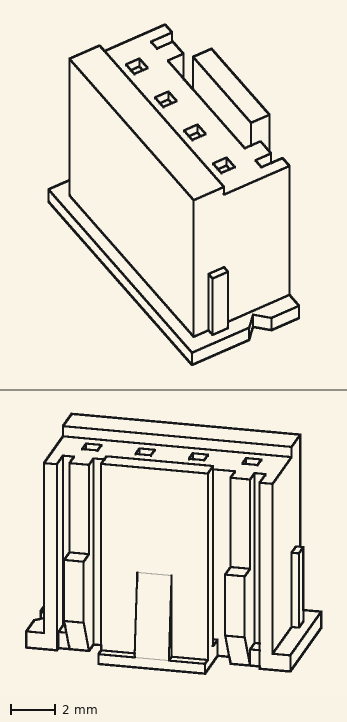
import cadquery as cq


flange_width = 12.3
flange_depth = 5.7
flange_height = 0.79
polarity_notch_depth = 0.62
polarity_notch_width = 1.18
polarity_notch_y = 3.63

housing_width = 10.65
housing_front = 0.6
housing_height = 9.0
part_height = 9.5
front_step_y = 2.21

rib_width = 11.34
rib_depth = 0.82
rib_height = 4.38

recess_width = 9.45
recess_front = 4.58
recess_floor_back = 5.41
rear_face = 6.4
post_inner_x = 3.3
post_outer_x = 4.21
post_shoulder_height = 4.69
post_foot_height = 1.73
latch_width = 4.97

part_depth = 6.9
ledge_height = 0.48
wedge_width = 1.6
wedge_top = 4.4

contact_count = 4
contact_pitch = 2.48
contact_size = 0.71
contact_hole_depth = 0.5
contact_y = 3.2


def block(x_start, x_end, y_start, y_end, z_start, z_end):
    """Box spanning the given limits along each axis."""
    size = (x_end - x_start, y_end - y_start, z_end - z_start)
    return cq.Workplane("XY").box(*size, centered=False).translate((x_start, y_start, z_start))


def centred_block(width, y_start, y_end, z_start, z_end):
    """Box symmetric about the X = 0 plane."""
    return block(-width / 2, width / 2, y_start, y_end, z_start, z_end)


def side_profile(points, x_start, x_end):
    """Extrude a closed outline of (y, z) points between two X positions."""
    return cq.Workplane("YZ", origin=(x_start, 0, 0)).polyline(points).close().extrude(x_end - x_start)


def make_flange():
    flange = centred_block(flange_width, 0, flange_depth, 0, flange_height)
    edge_x = flange_width / 2
    notch = (
        cq.Workplane("XY")
        .moveTo(edge_x, polarity_notch_y - polarity_notch_width / 2)
        .lineTo(edge_x - polarity_notch_depth, polarity_notch_y)
        .lineTo(edge_x, polarity_notch_y + polarity_notch_width / 2)
        .close()
        .extrude(flange_height)
    )
    return flange.cut(notch)


def make_housing():
    housing = centred_block(housing_width, housing_front, flange_depth, 0, housing_height)
    front_wall = centred_block(housing_width, housing_front, front_step_y, 0, part_height)
    ribs = centred_block(rib_width, front_step_y - rib_depth, front_step_y, 0, rib_height)
    return housing.union(front_wall).union(ribs)


def make_post(x_start, x_end):
    """Stepped post with an undercut foot."""
    outline = [
        (recess_front, 0),
        (recess_floor_back, 0),
        (rear_face, post_foot_height),
        (rear_face, post_shoulder_height),
        (recess_floor_back, post_shoulder_height),
        (recess_floor_back, housing_height),
        (recess_front, housing_height),
    ]
    return side_profile(outline, x_start, x_end)


def make_recess_floor(x_start, x_end):
    return block(x_start, x_end, recess_front, recess_floor_back, 0, flange_height)


def make_latch():
    floor = make_recess_floor(-latch_width / 2, latch_width / 2)
    arm = centred_block(latch_width, recess_floor_back, rear_face, 0, part_height)
    ledge = centred_block(latch_width, rear_face, part_depth, 0, ledge_height)
    wedge_outline = [
        (rear_face, 0),
        (part_depth, 0),
        (part_depth, ledge_height),
        (rear_face, wedge_top),
    ]
    wedge = side_profile(wedge_outline, -wedge_width / 2, wedge_width / 2)
    return floor.union(arm).union(ledge).union(wedge)


def make_contact_holes():
    return (
        cq.Workplane("XY", origin=(0, contact_y, housing_height))
        .rarray(contact_pitch, 0.12, contact_count, 1)
        .rect(contact_size, contact_size)
        .extrude(-contact_hole_depth)
    )


rear_recess = centred_block(recess_width, recess_front, flange_depth, 0, housing_height)
result = make_flange().union(make_housing()).cut(rear_recess)

post_limits = (post_inner_x, post_outer_x)
pocket_limits = (post_outer_x, recess_width / 2)
for side in (-1, 1):
    result = result.union(make_post(*sorted(side * x for x in post_limits)))
    result = result.union(make_recess_floor(*sorted(side * x for x in pocket_limits)))

result = result.union(make_latch()).cut(make_contact_holes())